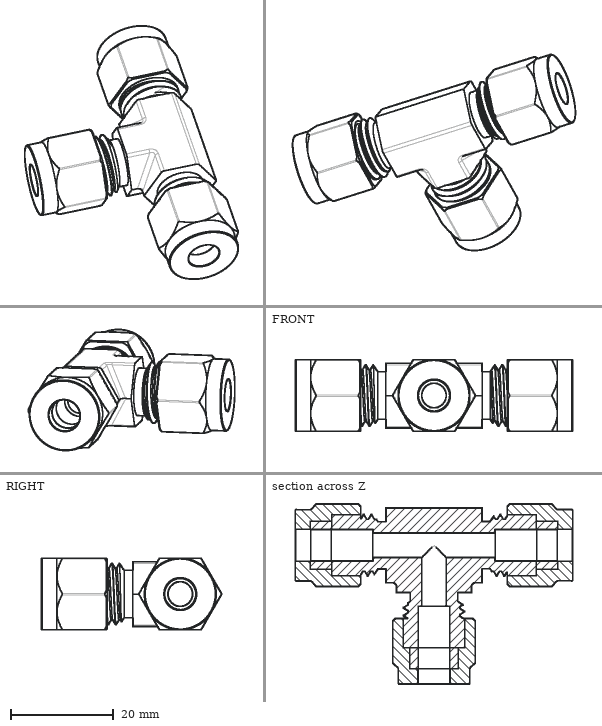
import cadquery as cq
import math

end_reach = 27.0

tee_across_flats = 12.65
run_half_length = 9.35
branch_length = 9.25
block_edge_radius = 0.75
inner_corner_radius = 0.95

neck_radius = 4.65
thread_start = 10.9
nut_face = 14.2
spigot_end = 20.0
tube_stop = 11.9
passage_radius = 2.4
tube_radius = 3.0

thread_major_radius = 6.0
thread_root_radius = 5.1
thread_pitch = 1.5
thread_crest_width = 0.1
thread_root_width = 0.3
thread_top_crest = 11.75
thread_lead_in = 0.9
groove_overshoot = 0.15

nut_across_flats = 14.0
nut_bore_radius = 3.1
nut_edge_radius = 0.25
nut_face_chamfer = 0.2
nut_face_bevel = 0.55
collar_length = 3.0
rim_bevel = 0.15
mouth_bevel = 0.1

ferrule_radius = 4.65

tee_corner_radius = tee_across_flats / math.sqrt(3)
nut_corner_radius = nut_across_flats / math.sqrt(3)
collar_radius = nut_across_flats / 2
collar_start = end_reach - collar_length
port_angles = (0, 180, -90)


def hex_prism(corner_radius, start, end):
    """Hexagonal prism along X with flats facing +Z and -Z."""
    plane = cq.Workplane("YZ", origin=(start, 0, 0))
    return plane.polygon(6, 2 * corner_radius).extrude(end - start)


def cylinder(radius, start, end):
    """Round bar along X."""
    return cq.Workplane("YZ", origin=(start, 0, 0)).circle(radius).extrude(end - start)


def turned(profile):
    """Solid of revolution about X from (x, radius) points."""
    return cq.Workplane("XY").polyline(profile).close().revolve(360, (0, 0, 0), (1, 0, 0))


def at_port(body, angle):
    """Turn a body that lies along +X about Z to the port at this angle."""
    return body.rotate((0, 0, 0), (0, 0, 1), angle)


def edges_near(point, reach=0.05):
    """Selector for the edges whose centre lies at a point."""
    low = tuple(v - reach for v in point)
    high = tuple(v + reach for v in point)
    return cq.selectors.BoxSelector(low, high)


def inner_corner_edges():
    """Selector for the four sloping edges between run and branch."""
    across = 0.75 * tee_corner_radius
    height = tee_across_flats / 4
    left = edges_near((-across, -across, height)) + edges_near((-across, -across, -height))
    right = edges_near((across, -across, height)) + edges_near((across, -across, -height))
    return left + right


def tee_block():
    """Run and branch bars joined, with rounded inner corners and rounded flats."""
    run = hex_prism(tee_corner_radius, -run_half_length, run_half_length)
    branch = at_port(hex_prism(tee_corner_radius, 0, branch_length), -90)
    block = run.union(branch)
    block = block.edges(inner_corner_edges()).fillet(inner_corner_radius)
    flat_edges = block.faces(">Z or <Z").edges("not(>X or <X or <Y)")
    return flat_edges.fillet(block_edge_radius)


def thread_groove():
    """Helical V groove about X that runs past both ends of the exposed thread."""
    start = thread_top_crest - 1.5 * thread_pitch
    length = nut_face + thread_pitch - start
    half_root = thread_root_width / 2
    half_mouth = (thread_pitch - thread_crest_width) / 2
    flank_slope = (half_mouth - half_root) / (thread_major_radius - thread_root_radius)
    outer_radius = thread_major_radius + groove_overshoot
    half_outer = half_mouth + flank_slope * groove_overshoot
    groove = (
        cq.Workplane("XZ")
        .polyline([
            (thread_root_radius, -half_root),
            (outer_radius, -half_outer),
            (outer_radius, half_outer),
            (thread_root_radius, half_root),
        ])
        .close()
        .sweep(cq.Wire.makeHelix(thread_pitch, length, thread_major_radius), isFrenet=True)
    )
    lying = groove.rotate((0, 0, 0), (0, 1, 0), 90).rotate((0, 0, 0), (1, 0, 0), 180)
    return lying.translate((start, 0, 0))


def port():
    """Neck, exposed thread and the plain spigot inside the nut."""
    neck = cylinder(neck_radius, branch_length, thread_start)
    thread_blank = turned([
        (thread_start, 0),
        (thread_start, neck_radius),
        (thread_start + thread_lead_in, thread_major_radius),
        (nut_face, thread_major_radius),
        (nut_face, 0),
    ])
    spigot = cylinder(thread_major_radius, nut_face, spigot_end)
    return neck.union(thread_blank.cut(thread_groove())).union(spigot)


def tee():
    """Block with its three ports, bored through and socketed for the tubes."""
    body = tee_block()
    outer_port = port()
    for angle in port_angles:
        body = body.union(at_port(outer_port, angle))
    run_passage = cylinder(passage_radius, -spigot_end, spigot_end)
    branch_passage = at_port(cylinder(passage_radius, 0, spigot_end), -90)
    body = body.cut(run_passage).cut(branch_passage)
    for angle in port_angles:
        body = body.cut(at_port(cylinder(tube_radius, tube_stop, spigot_end), angle))
    return body


def nut():
    """Hexagonal nut with a round collar, hollow for spigot, ferrule and tube."""
    prism = hex_prism(nut_corner_radius, nut_face, end_reach)
    prism = prism.edges("|X").fillet(nut_edge_radius)
    prism = prism.faces("<X").chamfer(nut_face_chamfer)
    collar_bevel = nut_corner_radius - collar_radius
    envelope = turned([
        (nut_face, 0),
        (nut_face, nut_corner_radius - nut_face_bevel),
        (nut_face + nut_face_bevel, nut_corner_radius),
        (collar_start - collar_bevel, nut_corner_radius),
        (collar_start, collar_radius),
        (end_reach - rim_bevel, collar_radius),
        (end_reach, collar_radius - rim_bevel),
        (end_reach, 0),
    ])
    cavity = turned([
        (nut_face, 0),
        (nut_face, thread_major_radius),
        (spigot_end, thread_major_radius),
        (spigot_end, ferrule_radius),
        (collar_start, ferrule_radius),
        (collar_start, nut_bore_radius),
        (end_reach - mouth_bevel, nut_bore_radius),
        (end_reach, nut_bore_radius + mouth_bevel),
        (end_reach, 0),
    ])
    return prism.intersect(envelope).cut(cavity)


def ferrule():
    """Sleeve between the end of the spigot and the inner shoulder of the nut."""
    sleeve = cylinder(ferrule_radius, spigot_end, collar_start)
    return sleeve.cut(cylinder(tube_radius, spigot_end, collar_start))


bodies = [tee().val()]
for port_angle in port_angles:
    bodies.append(at_port(nut(), port_angle).val())
    bodies.append(at_port(ferrule(), port_angle).val())
result = cq.Compound.makeCompound(bodies)